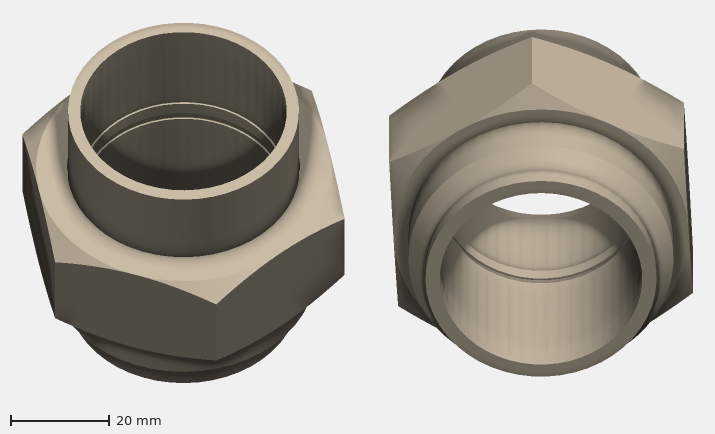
import cadquery as cq
import math

total_height = 58.0
nut_bottom = 17.0
nut_top = 40.05
body_top = 31.1
gasket_top = 32.9
flange_top = 36.7

pipe_radius = 23.5
thread_radius = 26.95
socket_radius = 21.0
bore_radius = 20.6
lip_clearance = 0.2

socket_step = 35.9
pipe_end_height = 4.2
hex_corner_width = 69.3
chamfer_angle = 30.0

hex_flat_radius = hex_corner_width / 2 * math.cos(math.pi / 6)


def revolved(points):
    """Turn an outline of (radius, height) points about the Z axis."""
    return cq.Workplane("XZ").polyline(points).close().revolve(360, (0, 0, 0), (0, 1, 0))


def make_lower_body():
    cone_top = pipe_end_height + thread_radius - pipe_radius
    return revolved([
        (bore_radius, 0),
        (pipe_radius, 0),
        (pipe_radius, pipe_end_height),
        (thread_radius, cone_top),
        (thread_radius, body_top),
        (bore_radius, body_top),
    ])


def make_gasket():
    return (
        cq.Workplane("XY", origin=(0, 0, body_top))
        .circle(thread_radius)
        .circle(socket_radius)
        .extrude(gasket_top - body_top)
    )


def make_tailpiece():
    return revolved([
        (bore_radius, gasket_top),
        (thread_radius, gasket_top),
        (thread_radius, flange_top),
        (pipe_radius, flange_top),
        (pipe_radius, total_height),
        (socket_radius, total_height),
        (socket_radius, socket_step),
        (bore_radius, socket_step),
    ])


def make_nut():
    hexagon = (
        cq.Workplane("XY", origin=(0, 0, nut_bottom))
        .polygon(6, hex_corner_width)
        .extrude(nut_top - nut_bottom)
    )
    corner_radius = hex_corner_width / 2
    chamfer_height = (corner_radius - hex_flat_radius) * math.tan(math.radians(chamfer_angle))
    envelope = revolved([
        (0, nut_bottom),
        (hex_flat_radius, nut_bottom),
        (corner_radius, nut_bottom + chamfer_height),
        (corner_radius, nut_top - chamfer_height),
        (hex_flat_radius, nut_top),
        (0, nut_top),
    ])
    bore = (
        cq.Workplane("XY", origin=(0, 0, nut_bottom))
        .circle(thread_radius)
        .extrude(flange_top - nut_bottom)
    )
    lip_hole = (
        cq.Workplane("XY", origin=(0, 0, flange_top))
        .circle(pipe_radius + lip_clearance)
        .extrude(nut_top - flange_top)
    )
    return hexagon.intersect(envelope).cut(bore).cut(lip_hole)


lower_body = make_lower_body()
gasket = make_gasket()
tailpiece = make_tailpiece()
nut = make_nut()

result = cq.Compound.makeCompound([lower_body.val(), gasket.val(), tailpiece.val(), nut.val()])